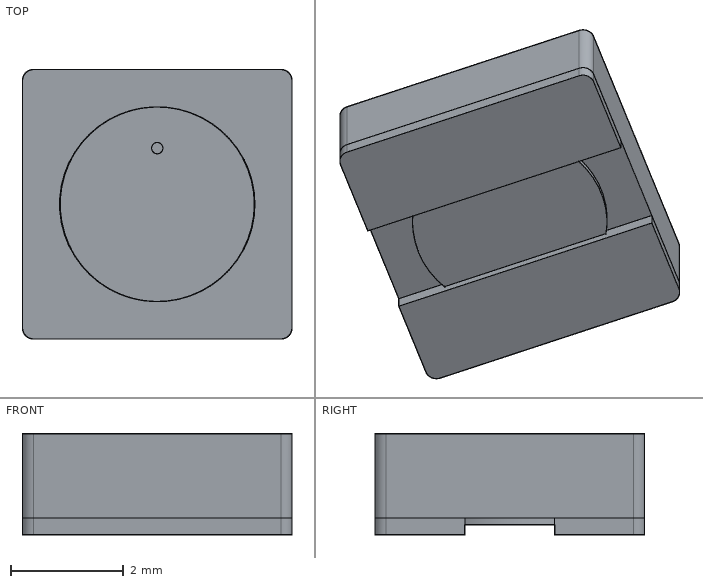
import cadquery as cq

side = 4.8
height = 1.8
corner_radius = 0.2

terminal_height = 0.3
terminal_gap = 1.6
terminal_depth = (side - terminal_gap) / 2

core_diameter = 3.46
bore_diameter = 3.47
core_bottom = 0.18

dot_diameter = 0.2
dot_offset = 1.0
dot_thickness = 0.02


def rounded_block(bottom, top):
    """Square block with rounded vertical corners between two heights."""
    block = cq.Workplane("XY").workplane(offset=bottom).rect(side, side).extrude(top - bottom)
    return block.edges("|Z").fillet(corner_radius)


def cylinder(diameter, bottom, top, y=0.0):
    """Upright cylinder centred on x = 0 between two heights."""
    return cq.Workplane("XY", origin=(0, y, bottom)).circle(diameter / 2).extrude(top - bottom)


def make_frame():
    """Square frame with a through bore for the core."""
    return rounded_block(terminal_height, height).cut(cylinder(bore_diameter, terminal_height, height))


def make_dot():
    """Disc flush with the top of the core."""
    return cylinder(dot_diameter, height - dot_thickness, height, dot_offset)


def make_core():
    """Solid round core with a recess for the dot."""
    return cylinder(core_diameter, core_bottom, height).cut(make_dot())


def make_terminal(direction):
    """Plate along one Y side, recessed on top where the core stands in it."""
    strip_centre = direction * (side - terminal_depth) / 2
    strip = cq.Workplane("XY", origin=(0, strip_centre, 0)).rect(side, terminal_depth).extrude(terminal_height)
    plate = rounded_block(0, terminal_height).intersect(strip)
    return plate.cut(cylinder(core_diameter, core_bottom, terminal_height))


frame = make_frame()
core = make_core()
dot = make_dot()
terminals = [make_terminal(direction) for direction in (-1, 1)]

result = cq.Compound.makeCompound(
    [frame.val(), core.val(), dot.val(), *[terminal.val() for terminal in terminals]]
)